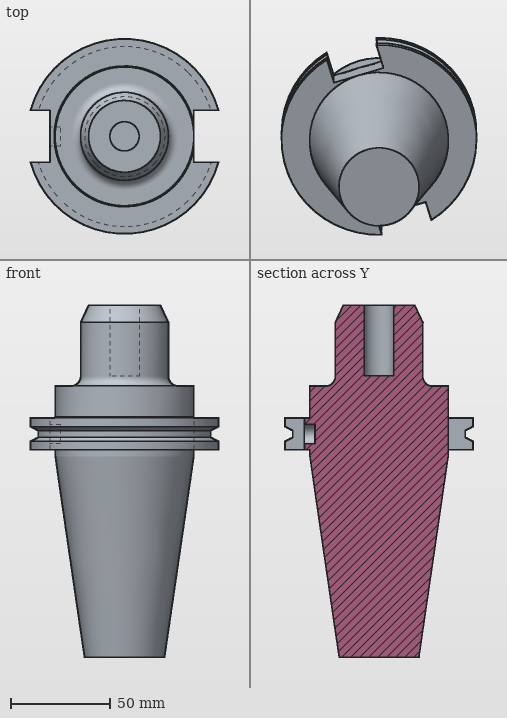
import cadquery as cq

total_length = 177.8
taper_length = 101.5
neck_length = 3.2
flange_thickness = 16.2
collar_height = 16.2
nose_chamfer_height = 8.7
flange_bottom = taper_length + neck_length
flange_top = flange_bottom + flange_thickness
flange_middle = flange_bottom + flange_thickness / 2
collar_top = flange_top + collar_height

gauge_radius = 35.0
taper_ratio = 7 / 24
small_end_radius = gauge_radius - taper_length * taper_ratio / 2
collar_radius = gauge_radius
collar_foot_radius = 35.5
collar_foot_height = 0.5
flange_radius = 49.3
nose_radius = 22.2
nose_tip_radius = 18.1
nose_fillet = 4.8

groove_floor_radius = 45.5
groove_mouth_width = 7.5
groove_floor_width = 3.4

slot_width = 26.1
left_slot_floor = 37.7
right_slot_floor = 35.0

bore_diameter = 14.8
bore_depth = 35.5
slot_hole_diameter = 9.6
slot_hole_depth = 5.3


def turned_body():
    """Revolve the taper, flange, collar and nose about Z."""
    profile = (
        cq.Workplane("XZ")
        .lineTo(small_end_radius, 0)
        .lineTo(gauge_radius, taper_length)
        .lineTo(gauge_radius, flange_bottom)
        .lineTo(flange_radius, flange_bottom)
        .lineTo(flange_radius, flange_middle - groove_mouth_width / 2)
        .lineTo(groove_floor_radius, flange_middle - groove_floor_width / 2)
        .lineTo(groove_floor_radius, flange_middle + groove_floor_width / 2)
        .lineTo(flange_radius, flange_middle + groove_mouth_width / 2)
        .lineTo(flange_radius, flange_top)
        .lineTo(collar_foot_radius, flange_top)
        .lineTo(collar_radius, flange_top + collar_foot_height)
        .lineTo(collar_radius, collar_top)
        .lineTo(nose_radius + nose_fillet, collar_top)
        .radiusArc((nose_radius, collar_top + nose_fillet), nose_fillet)
        .lineTo(nose_radius, total_length - nose_chamfer_height)
        .lineTo(nose_tip_radius, total_length)
        .lineTo(0, total_length)
        .close()
    )
    return profile.revolve(360, (0, 0, 0), (0, 1, 0))


def drive_slot(side, floor):
    """Slot cutter on one side (-1 or +1 along X), from its floor to the rim."""
    slot_top = flange_top + collar_foot_height
    return cq.Workplane("XY").box(
        flange_radius, slot_width, slot_top - flange_bottom, centered=(True, True, False)
    ).translate((side * (floor + flange_radius / 2), 0, flange_bottom))


def nose_bore():
    """Blind bore cutter down from the nose face."""
    return (
        cq.Workplane("XY")
        .workplane(offset=total_length - bore_depth)
        .circle(bore_diameter / 2)
        .extrude(bore_depth)
    )


def slot_hole():
    """Radial blind hole cutter in the floor of the -X slot."""
    return (
        cq.Workplane("YZ", origin=(-left_slot_floor, 0, flange_middle))
        .circle(slot_hole_diameter / 2)
        .extrude(slot_hole_depth)
    )


result = (
    turned_body()
    .cut(drive_slot(-1, left_slot_floor))
    .cut(drive_slot(1, right_slot_floor))
    .cut(nose_bore())
    .cut(slot_hole())
)